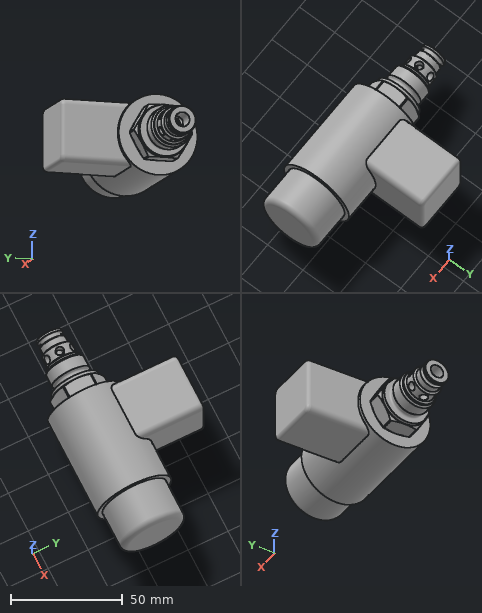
import cadquery as cq
import math


tip_groove_start = 1.5
tip_groove_end = 3.9
collar_start = 7.4
collar_end = 13.8
shoulder_start = 14.4
shoulder_end = 15.5
barrel_start = 16.3
neck_end = 25.9
hex_start = 27.6
body_start = 35.8
body_end = 86.0
total_length = 106.0

tip_radius = 6.4
tip_groove_radius = 5.1
collar_radius = 7.5
shoulder_radius = 8.6
barrel_radius = 9.5
neck_radius = 8.5
washer_radius = 11.8

tip_chamfer = 0.3
groove_corner = 0.3
collar_cone_length = 0.6
neck_corner = 1.0
neck_floor_start = 23.6

bore_radius = 3.3
bore_depth = 14.8
port_diameter = 4.0
port_x = 11.2
port_count = 6

hex_across_flats = 24.0
hex_corner_radius = 13.7
hex_face_radius = hex_across_flats / 2
hex_chamfer_angle = 30.0

body_radius = 18.5
knob_radius = 16.0
knob_fillet = 3.0

connector_start = 37.5
connector_width = 29.0
connector_top = 45.0
connector_side_fillet = 3.0
connector_top_fillet = 1.9


def revolve_about_x(profile):
    """Revolve a closed profile drawn with X along the axis and Y as the radius."""
    return profile.close().revolve(360, (0, 0, 0), (1, 0, 0))


def x_cylinder(radius, start, end):
    return cq.Workplane("YZ", origin=(start, 0, 0)).circle(radius).extrude(end - start)


def make_stem():
    """Stepped stem from the tip to the washer under the hexagon."""
    diagonal = math.sin(math.radians(45))
    cone_foot_x = neck_floor_start - neck_corner * diagonal
    cone_foot_radius = neck_radius + neck_corner * (1 - diagonal)
    barrel_end = cone_foot_x - (barrel_radius - cone_foot_radius)

    profile = (
        cq.Workplane("XY")
        .lineTo(0, tip_radius - tip_chamfer)
        .lineTo(tip_chamfer, tip_radius)
        .lineTo(tip_groove_start, tip_radius)
        .lineTo(tip_groove_start, tip_groove_radius + groove_corner)
        .radiusArc((tip_groove_start + groove_corner, tip_groove_radius), -groove_corner)
        .lineTo(tip_groove_end - groove_corner, tip_groove_radius)
        .radiusArc((tip_groove_end, tip_groove_radius + groove_corner), -groove_corner)
        .lineTo(tip_groove_end, tip_radius)
        .lineTo(collar_start, tip_radius)
        .lineTo(collar_start + collar_cone_length, collar_radius)
        .lineTo(collar_end, collar_radius)
        .lineTo(shoulder_start, shoulder_radius)
        .lineTo(shoulder_end, shoulder_radius)
        .lineTo(barrel_start, barrel_radius)
        .lineTo(barrel_end, barrel_radius)
        .lineTo(cone_foot_x, cone_foot_radius)
        .radiusArc((neck_floor_start, neck_radius), -neck_corner)
        .lineTo(neck_end - neck_corner, neck_radius)
        .radiusArc((neck_end, neck_radius + neck_corner), -neck_corner)
        .lineTo(neck_end, washer_radius)
        .lineTo(hex_start, washer_radius)
        .lineTo(hex_start, 0)
    )
    return revolve_about_x(profile)


def make_hexagon():
    """Hexagon with corners toward +Y and -Y, turned round and chamfered at both ends."""
    across_corners = hex_across_flats / math.cos(math.radians(30))
    prism = (
        cq.Workplane("YZ", origin=(hex_start, 0, 0))
        .polygon(6, across_corners)
        .extrude(body_start - hex_start)
    )
    chamfer_length = (hex_corner_radius - hex_face_radius) * math.tan(math.radians(hex_chamfer_angle))
    envelope = revolve_about_x(
        cq.Workplane("XY")
        .moveTo(hex_start, 0)
        .lineTo(hex_start, hex_face_radius)
        .lineTo(hex_start + chamfer_length, hex_corner_radius)
        .lineTo(body_start - chamfer_length, hex_corner_radius)
        .lineTo(body_start, hex_face_radius)
        .lineTo(body_start, 0)
    )
    return prism.intersect(envelope)


def make_knob():
    return x_cylinder(knob_radius, body_end, total_length).faces(">X").edges().fillet(knob_fillet)


def make_connector():
    """Square block rising from the body axis toward +Y."""
    return (
        cq.Workplane("XY")
        .box(connector_width, connector_top, connector_width)
        .translate((connector_start + connector_width / 2, connector_top / 2, 0))
        .edges("|Y")
        .fillet(connector_side_fillet)
        .faces(">Y")
        .edges()
        .fillet(connector_top_fillet)
    )


def make_passages():
    """Blind bore from the tip, crossed by radial ports through the collar."""
    passages = x_cylinder(bore_radius, 0, bore_depth)
    port = cq.Workplane("XY", origin=(port_x, 0, 0)).circle(port_diameter / 2).extrude(barrel_radius)
    for index in range(port_count):
        angle = index * 360 / port_count
        passages = passages.union(port.rotate((0, 0, 0), (1, 0, 0), angle))
    return passages


result = (
    make_stem()
    .cut(make_passages())
    .union(make_hexagon())
    .union(x_cylinder(body_radius, body_start, body_end))
    .union(make_knob())
    .union(make_connector())
)